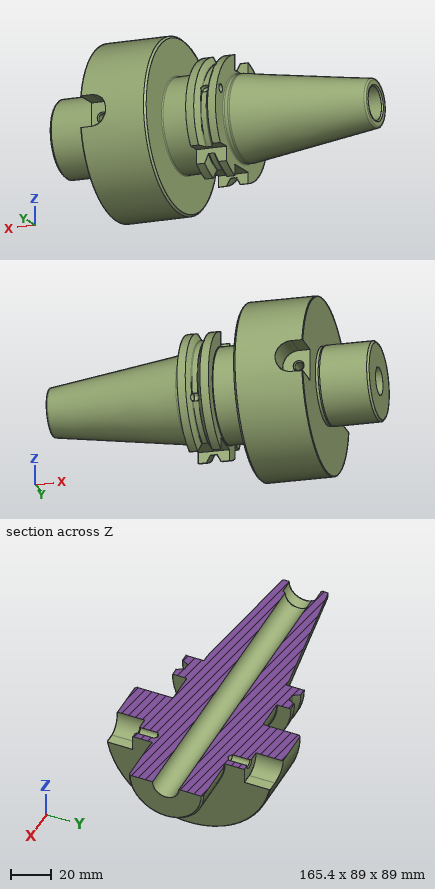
import cadquery as cq
import math


gauge_diameter = 44.45
taper_ratio = 7 / 24
taper_length = 68.4
taper_end_fillet = 1.0
neck_diameter = 44.25
neck_start = 1.0
neck_fillet = 0.5

grip_start = 3.2
grip_end = 19.1
grip_diameter = 63.55
grip_fillet = 0.3
groove_floor_diameter = 56.25
groove_center = 11.1
groove_floor_width = 3.2
groove_corner_radius = 0.4
groove_flank_angle = 30

body_diameter = 48.5
head_start = 35.0
head_end = 70.0
head_diameter = 89.0
head_back_chamfer = 1.0
head_front_chamfer = 0.4
body_fillet = 0.5
pilot_end = 97.0
pilot_diameter = 40.0
pilot_chamfer = 1.0
relief_diameter = 39.4
relief_width = 1.4
relief_ramp = 0.8

drill_tip_angle = 118

bore_diameter = 14.0
stud_bore_diameter = 17.0
stud_bore_depth = 8.0
stud_bore_chamfer = 0.7

grip_slot_width = 16.1
upper_slot_floor = 22.8
lower_slot_floor = 25.0
notch_offset = 18.5

coolant_axial_diameter = 4.2
coolant_axial_depth = 6.6
coolant_radial_diameter = 4.0
coolant_circle_diameter = 54.0
coolant_angle = 20
coolant_radial_floor = 26.0

drive_slot_width = 16.1
drive_slot_center = 64.3
drive_slot_floor = 30.0
screw_hole_diameter = 4.2
screw_hole_depth = 10.0
screw_countersink_diameter = 5.5


def drill_tip_length(radius):
    """Height of the cone left by a drill tip of the given radius."""
    return radius / math.tan(math.radians(drill_tip_angle / 2))


def make_turned_body():
    """Revolve the half section of the shank, flange, head and pilot."""
    taper_end_radius = (gauge_diameter - taper_length * taper_ratio) / 2
    grip_radius = grip_diameter / 2
    body_radius = body_diameter / 2
    head_radius = head_diameter / 2
    pilot_radius = pilot_diameter / 2
    relief_radius = relief_diameter / 2
    neck_radius = neck_diameter / 2

    profile = (
        cq.Workplane("XY")
        .moveTo(-taper_length, 0)
        .lineTo(-taper_length, taper_end_radius)
        .lineTo(0, gauge_diameter / 2)
        .lineTo(neck_start, neck_radius)
        .lineTo(grip_start - neck_fillet, neck_radius)
        .radiusArc((grip_start, neck_radius + neck_fillet), -neck_fillet)
        .lineTo(grip_start, grip_radius)
        .lineTo(grip_end, grip_radius)
        .lineTo(grip_end, body_radius + grip_fillet)
        .radiusArc((grip_end + grip_fillet, body_radius), -grip_fillet)
        .lineTo(head_start - body_fillet, body_radius)
        .radiusArc((head_start, body_radius + body_fillet), -body_fillet)
        .lineTo(head_start, head_radius - head_back_chamfer)
        .lineTo(head_start + head_back_chamfer, head_radius)
        .lineTo(head_end - head_front_chamfer, head_radius)
        .lineTo(head_end, head_radius - head_front_chamfer)
        .lineTo(head_end, relief_radius)
        .lineTo(head_end + relief_width, relief_radius)
        .lineTo(head_end + relief_width + relief_ramp, pilot_radius)
        .lineTo(pilot_end - pilot_chamfer, pilot_radius)
        .lineTo(pilot_end, pilot_radius - pilot_chamfer)
        .lineTo(pilot_end, 0)
        .close()
    )
    body = profile.revolve(360, (0, 0, 0), (1, 0, 0))
    return body.faces("<X").edges().fillet(taper_end_fillet)


def make_grip_groove():
    """V groove around the gripper flange, with rounded floor corners."""
    grip_radius = grip_diameter / 2
    floor_radius = groove_floor_diameter / 2
    floor_half = groove_floor_width / 2
    flank_run = (grip_radius - floor_radius) * math.tan(math.radians(groove_flank_angle))
    mouth_half = floor_half + flank_run
    ring = (
        cq.Workplane("XY")
        .moveTo(groove_center - mouth_half, grip_radius)
        .lineTo(groove_center - floor_half, floor_radius)
        .lineTo(groove_center + floor_half, floor_radius)
        .lineTo(groove_center + mouth_half, grip_radius)
        .close()
        .revolve(360, (0, 0, 0), (1, 0, 0))
    )
    floor_corners = ring.edges(cq.selectors.RadiusNthSelector(0))
    return floor_corners.fillet(groove_corner_radius)


def make_bore():
    """Through bore with the chamfered pull-stud bore at the small end of the taper."""
    bore_radius = bore_diameter / 2
    stud_radius = stud_bore_diameter / 2
    stud_floor = -taper_length + stud_bore_depth
    return (
        cq.Workplane("XY")
        .moveTo(-taper_length, 0)
        .lineTo(-taper_length, stud_radius + stud_bore_chamfer)
        .lineTo(-taper_length + stud_bore_chamfer, stud_radius)
        .lineTo(stud_floor, stud_radius)
        .lineTo(stud_floor + drill_tip_length(stud_radius - bore_radius), bore_radius)
        .lineTo(pilot_end, bore_radius)
        .lineTo(pilot_end, 0)
        .close()
        .revolve(360, (0, 0, 0), (1, 0, 0))
    )


def make_grip_slot(floor_height):
    """Round-ended slot cut down from above the flange to the given height."""
    half_width = grip_slot_width / 2
    return (
        cq.Workplane("XY", origin=(0, 0, floor_height))
        .moveTo(grip_start, -half_width)
        .lineTo(grip_end, -half_width)
        .threePointArc((grip_end + half_width, 0), (grip_end, half_width))
        .lineTo(grip_start, half_width)
        .close()
        .extrude(grip_diameter / 2 - floor_height)
    )


def make_orientation_notch():
    """Square corner notch across the full width of the gripper flange."""
    notch_size = grip_diameter / 2 - notch_offset
    return cq.Workplane("XY", origin=(grip_start, notch_offset, -grip_diameter / 2)).box(
        grip_end - grip_start, notch_size, notch_size, centered=False
    )


def make_coolant_hole():
    """Axial hole in the flange face joined to a radial hole in the groove, on the +Y side."""
    circle_radius = coolant_circle_diameter / 2
    axial = (
        cq.Workplane("YZ", origin=(grip_start, circle_radius, 0))
        .circle(coolant_axial_diameter / 2)
        .extrude(coolant_axial_depth)
    )
    hole_radius = coolant_radial_diameter / 2
    grip_radius = grip_diameter / 2
    radial = (
        cq.Workplane("XY")
        .moveTo(groove_center, grip_radius)
        .lineTo(groove_center + hole_radius, grip_radius)
        .lineTo(groove_center + hole_radius, coolant_radial_floor)
        .lineTo(groove_center, coolant_radial_floor - drill_tip_length(hole_radius))
        .close()
        .revolve(360, (groove_center, 0, 0), (groove_center, 1, 0))
    )
    return axial.union(radial).rotate((0, 0, 0), (1, 0, 0), coolant_angle)


def make_drive_slot():
    """Round-ended slot open to the front of the head on the -Y side, with its screw hole."""
    half_width = drive_slot_width / 2
    slot = (
        cq.Workplane("XZ", origin=(0, -drive_slot_floor, 0))
        .moveTo(head_end, -half_width)
        .lineTo(drive_slot_center, -half_width)
        .threePointArc((drive_slot_center - half_width, 0), (drive_slot_center, half_width))
        .lineTo(head_end, half_width)
        .close()
        .extrude(head_diameter / 2 - drive_slot_floor)
    )
    hole_radius = screw_hole_diameter / 2
    sink_radius = screw_countersink_diameter / 2
    sink_bottom = -drive_slot_floor + sink_radius - hole_radius
    hole_bottom = -drive_slot_floor + screw_hole_depth
    hole = (
        cq.Workplane("XY")
        .moveTo(drive_slot_center, -drive_slot_floor)
        .lineTo(drive_slot_center + sink_radius, -drive_slot_floor)
        .lineTo(drive_slot_center + hole_radius, sink_bottom)
        .lineTo(drive_slot_center + hole_radius, hole_bottom)
        .lineTo(drive_slot_center, hole_bottom + drill_tip_length(hole_radius))
        .close()
        .revolve(360, (drive_slot_center, 0, 0), (drive_slot_center, 1, 0))
    )
    return slot.union(hole)


def half_turn(tool):
    """Copy a cutting tool to the opposite side of the axis."""
    return tool.rotate((0, 0, 0), (1, 0, 0), 180)


result = make_turned_body().cut(make_bore()).cut(make_grip_groove())
result = result.cut(make_grip_slot(upper_slot_floor))
result = result.cut(half_turn(make_grip_slot(lower_slot_floor)))
result = result.cut(make_orientation_notch())
for tool in (make_coolant_hole(), make_drive_slot()):
    result = result.cut(tool).cut(half_turn(tool))